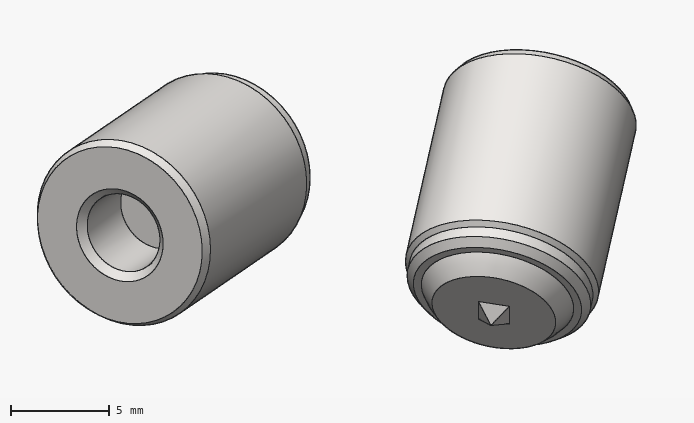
import cadquery as cq

total_length = 13.8
housing_diameter = 10.0
housing_radius = housing_diameter / 2
edge_inset = 0.25
rear_chamfer_length = 0.43
collar_radius = housing_radius - edge_inset
collar_length = 1.0
rim_chamfer = 0.4

tip_height = 0.8
ball_protrusion = 1.0
flat_y = total_length - tip_height
rim_y = flat_y - ball_protrusion
collar_start_y = rim_y - collar_length
shoulder_y = collar_start_y - edge_inset

ball_radius = 4.5
flat_radius = 3.2
ball_center_y = flat_y - (ball_radius**2 - flat_radius**2) ** 0.5
tip_width = 2 * tip_height

hole_radius = 2.1
hole_depth = 4.0
hole_chamfer = 0.4


def make_ball_blank():
    """Sphere cut flat at its front, used for both the ball and its socket."""
    return (
        cq.Workplane("YZ")
        .moveTo(ball_center_y - ball_radius, 0)
        .threePointArc((ball_center_y, ball_radius), (flat_y, flat_radius))
        .lineTo(flat_y, 0)
        .close()
        .revolve(360, (0, 0, 0), (1, 0, 0))
    )


def make_housing():
    """Cylinder with a stepped collar, a blind rear hole and a spherical socket."""
    body = (
        cq.Workplane("XY")
        .moveTo(0, 0)
        .lineTo(collar_radius, 0)
        .lineTo(housing_radius, rear_chamfer_length)
        .lineTo(housing_radius, shoulder_y)
        .lineTo(collar_radius, collar_start_y)
        .lineTo(collar_radius, rim_y - rim_chamfer)
        .lineTo(collar_radius - rim_chamfer, rim_y)
        .lineTo(0, rim_y)
        .close()
        .revolve(360, (0, 0, 0), (0, 1, 0))
    )
    hole = (
        cq.Workplane("XY")
        .moveTo(0, 0)
        .lineTo(hole_radius + hole_chamfer, 0)
        .lineTo(hole_radius, hole_chamfer)
        .lineTo(hole_radius, hole_depth)
        .lineTo(0, hole_depth)
        .close()
        .revolve(360, (0, 0, 0), (0, 1, 0))
    )
    return body.cut(hole).cut(make_ball_blank())


def make_tip():
    """Square pyramid standing on the flat of the ball, with its point at +Y."""
    half_width = tip_width / 2
    apex = (0, total_length, 0)
    corners = [
        (-half_width, flat_y, -half_width),
        (half_width, flat_y, -half_width),
        (half_width, flat_y, half_width),
        (-half_width, flat_y, half_width),
    ]
    faces = [cq.Face.makeFromWires(cq.Wire.makePolygon(corners, close=True))]
    for start, end in zip(corners, corners[1:] + corners[:1]):
        faces.append(cq.Face.makeFromWires(cq.Wire.makePolygon([start, end, apex], close=True)))
    return cq.Workplane(obj=cq.Solid.makeSolid(cq.Shell.makeShell(faces)))


def make_ball():
    """Swivel ball with a flat front and a pointed tip on the flat."""
    return make_ball_blank().union(make_tip())


housing = make_housing()
ball = make_ball()

result = cq.Compound.makeCompound([housing.val(), ball.val()])